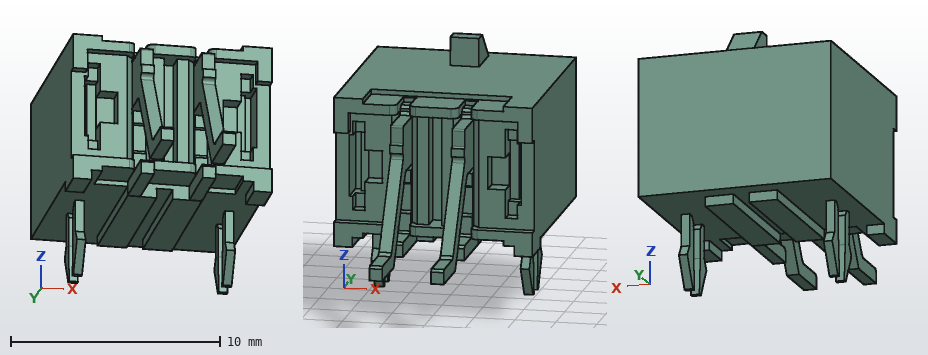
import cadquery as cq


HOUSING_WIDTH = 9.7
HOUSING_DEPTH = 9.9
HOUSING_TOP = 7.35
STANDOFF = 0.48
HALF_WIDTH = HOUSING_WIDTH / 2

WEB_SETBACK = 0.48
LOWER_FLANGE_TOP = 1.2
UPPER_FLANGE_BOTTOM = 6.61
LOBE_WIDTH = 0.7
LOBE_BOTTOM = 5.61
RELIEF_WIDTH = 6.87
RELIEF_DROP = 0.24
UPPER_RELIEF_DEPTH = 1.92
LOWER_RELIEF_DEPTH = 1.86
CENTER_GROOVE_WIDTH = 0.64
CENTER_GROOVE_DEPTH = 0.95

CORNER_FOOT_WIDTH = 0.89
RAIL_INNER_X = 0.4
RAIL_BACK_Y = 8.89

LATCH_WIDTH = 1.4
LATCH_HEIGHT = 1.4
LATCH_FRONT_Y = 7.12
LATCH_FLAT = 0.78

CONTACT_PITCH = 3.0
CONTACT_WIDTH = 0.62
SLOT_DEPTH = 1.83
SLOT_LEAD_IN = 0.32
TAIL_HEIGHT = 0.72
TAIL_CHAMFER = 0.13
UPPER_CONTACT_BOTTOM = 4.07
ROOT_TOP = 7.08
SHOULDER_TOP = 6.85
NOSE_TOP = 6.42
NOSE_Y = -1.2
NOSE_STEP_Y = -1.38
NOSE_STEP_Z = 5.52
NOSE_ROUND = 0.08
HEAD_TOP = 3.83
LEG_FRONT_Y = 0.5
LEG_CHAMFER = 0.11
UPPER_TAIL_TIP = 6.0
LOWER_TAIL_TIP = 1.34

LOCK_INNER_X = RELIEF_WIDTH / 2
LOCK_THICKNESS = 0.43
LOCK_CENTER_Y = 5.31
LOCK_LENGTH = 3.12
POCKET_MID_Z = 3.91
POCKET_HEIGHT = 4.37
POCKET_WIDTH = 0.59
POCKET_DEPTH = 0.64
WELL_HEIGHT = 3.02
WELL_WIDTH = 0.76
WELL_DEPTH = 1.43
LOCK_EDGE_DEPTH = 1.11
NOTCH_WIDTH = 0.86
NOTCH_HEIGHT = 1.59
NOTCH_DEPTH = 0.89

SIDES = (-1, 1)


def box(x0, x1, y0, y1, z0, z1):
    """Box between two corners; the X limits may come in either order."""
    return (
        cq.Workplane("XY")
        .box(abs(x1 - x0), y1 - y0, z1 - z0, centered=False)
        .translate((min(x0, x1), y0, z0))
    )


def plate(points, x_center, thickness):
    """Plate with a (Y, Z) outline, extruded evenly about x_center."""
    return (
        cq.Workplane("YZ")
        .polyline(points)
        .close()
        .extrude(thickness / 2, both=True)
        .translate((x_center, 0, 0))
    )


def housing_body():
    body = box(-HALF_WIDTH, HALF_WIDTH, 0, HOUSING_DEPTH, STANDOFF, HOUSING_TOP)

    lobe_inner_x = HALF_WIDTH - LOBE_WIDTH
    body = body.cut(box(-HALF_WIDTH, HALF_WIDTH, 0, WEB_SETBACK, LOWER_FLANGE_TOP, LOBE_BOTTOM))
    body = body.cut(box(-lobe_inner_x, lobe_inner_x, 0, WEB_SETBACK, LOBE_BOTTOM, UPPER_FLANGE_BOTTOM))

    half_relief = RELIEF_WIDTH / 2
    relief_floor = HOUSING_TOP - RELIEF_DROP
    body = body.cut(box(-half_relief, half_relief, 0, UPPER_RELIEF_DEPTH, relief_floor, HOUSING_TOP))
    body = body.cut(
        box(-half_relief, half_relief, 0, LOWER_RELIEF_DEPTH, STANDOFF, STANDOFF + RELIEF_DROP)
    )

    half_groove = CENTER_GROOVE_WIDTH / 2
    groove_back = WEB_SETBACK + CENTER_GROOVE_DEPTH
    return body.cut(
        box(-half_groove, half_groove, WEB_SETBACK, groove_back, LOWER_FLANGE_TOP, UPPER_FLANGE_BOTTOM)
    )


def feet(side):
    """One front corner foot and one long rail."""
    corner_inner_x = HALF_WIDTH - CORNER_FOOT_WIDTH
    rail_outer_x = (CONTACT_PITCH + CONTACT_WIDTH) / 2
    corner = box(side * corner_inner_x, side * HALF_WIDTH, 0, LOWER_RELIEF_DEPTH, 0, STANDOFF)
    rail = box(side * RAIL_INNER_X, side * rail_outer_x, LOWER_RELIEF_DEPTH, RAIL_BACK_Y, 0, STANDOFF)
    return corner.union(rail)


def latch():
    """Wedge that rises at 45 degrees from the back to a short flat."""
    flat_back_y = LATCH_FRONT_Y + LATCH_FLAT
    latch_top = HOUSING_TOP + LATCH_HEIGHT
    outline = [
        (LATCH_FRONT_Y, HOUSING_TOP),
        (LATCH_FRONT_Y, latch_top),
        (flat_back_y, latch_top),
        (flat_back_y + LATCH_HEIGHT, HOUSING_TOP),
    ]
    return plate(outline, 0, LATCH_WIDTH)


def slot_mouth(half_slot, front_y, rounded):
    """Slot outline in plan, widening at front_y with either round or 45 degree corners."""
    half_mouth = half_slot + SLOT_LEAD_IN
    throat_y = front_y + SLOT_LEAD_IN
    outline = cq.Workplane("XY").moveTo(-half_mouth, front_y)
    if rounded:
        outline = outline.radiusArc((-half_slot, throat_y), -SLOT_LEAD_IN)
    else:
        outline = outline.lineTo(-half_slot, throat_y)
    outline = outline.lineTo(-half_slot, SLOT_DEPTH).lineTo(half_slot, SLOT_DEPTH).lineTo(half_slot, throat_y)
    if rounded:
        outline = outline.radiusArc((half_mouth, front_y), -SLOT_LEAD_IN)
    else:
        outline = outline.lineTo(half_mouth, front_y)
    return outline.close()


def contact_slot(x_center):
    """Upright slot: round corners through the flanges, chamfered corners in the web."""
    half_slot = CONTACT_WIDTH / 2
    through_flanges = (
        slot_mouth(half_slot, 0, rounded=True)
        .extrude(HOUSING_TOP - STANDOFF)
        .translate((x_center, 0, STANDOFF))
    )
    through_web = (
        slot_mouth(half_slot, WEB_SETBACK, rounded=False)
        .extrude(UPPER_FLANGE_BOTTOM - LOWER_FLANGE_TOP)
        .translate((x_center, 0, LOWER_FLANGE_TOP))
    )
    return through_flanges.union(through_web)


def upper_contact(x_center):
    """Contact that leaves the housing high and slopes down to its solder tail."""
    top_inside_slot = [
        (SLOT_DEPTH, ROOT_TOP),
        (1.73, ROOT_TOP),
        (1.73, SHOULDER_TOP),
        (1.18, SHOULDER_TOP),
        (1.02, 6.71),
        (1.02, 6.58),
        (0.86, NOSE_TOP),
    ]
    sloping_front = [(-3.83, 0.86), (-4.04, TAIL_HEIGHT)]
    tail = [
        (TAIL_CHAMFER - UPPER_TAIL_TIP, TAIL_HEIGHT),
        (-UPPER_TAIL_TIP, TAIL_HEIGHT - TAIL_CHAMFER),
        (-UPPER_TAIL_TIP, 0),
        (-3.35, 0),
    ]
    outline = (
        cq.Workplane("YZ")
        .moveTo(SLOT_DEPTH, UPPER_CONTACT_BOTTOM)
        .polyline(top_inside_slot, includeCurrent=True)
        .lineTo(NOSE_Y + NOSE_ROUND, NOSE_TOP)
        .radiusArc((NOSE_Y, NOSE_TOP - NOSE_ROUND), -NOSE_ROUND)
        .lineTo(NOSE_Y, NOSE_STEP_Z + NOSE_ROUND)
        .radiusArc((NOSE_Y - NOSE_ROUND, NOSE_STEP_Z), NOSE_ROUND)
        .lineTo(NOSE_STEP_Y, NOSE_STEP_Z)
        .lineTo(NOSE_STEP_Y, 5.1)
        .threePointArc((-1.22, 4.98), (-1.25, 4.8))
        .polyline(sloping_front, includeCurrent=True)
        .polyline(tail, includeCurrent=True)
        .lineTo(-0.8, 3.93)
        .threePointArc((-0.7, 4.02), (-0.55, UPPER_CONTACT_BOTTOM))
        .close()
    )
    return outline.extrude(CONTACT_WIDTH / 2, both=True).translate((x_center, 0, 0))


def lower_contact(x_center):
    """Contact that stands upright in the slot and ends in a short solder tail."""
    outline = [
        (SLOT_DEPTH, 0),
        (SLOT_DEPTH, HEAD_TOP),
        (LEG_FRONT_Y, HEAD_TOP),
        (LEG_FRONT_Y, 3.21),
        (0.57, 3.13),
        (0.57, 1.83),
        (0.54, 1.75),
        (LEG_FRONT_Y, 1.69),
        (LEG_FRONT_Y, TAIL_HEIGHT + LEG_CHAMFER),
        (LEG_FRONT_Y - LEG_CHAMFER, TAIL_HEIGHT),
        (TAIL_CHAMFER - LOWER_TAIL_TIP, TAIL_HEIGHT),
        (-LOWER_TAIL_TIP, TAIL_HEIGHT - TAIL_CHAMFER),
        (-LOWER_TAIL_TIP, 0),
    ]
    return plate(outline, x_center, CONTACT_WIDTH)


def lock_pocket(side):
    """Pocket for one board lock, opening into a notch towards the contacts."""
    pocket_back = WEB_SETBACK + POCKET_DEPTH
    well_back = WEB_SETBACK + WELL_DEPTH
    lock_edge = WEB_SETBACK + LOCK_EDGE_DEPTH
    notch_back = WEB_SETBACK + NOTCH_DEPTH
    inner_x = side * LOCK_INNER_X
    lock_outer_x = side * (LOCK_INNER_X + LOCK_THICKNESS)
    well_outer_x = side * (LOCK_INNER_X + WELL_WIDTH)

    def recess(x0, x1, back_y, height):
        bottom = POCKET_MID_Z - height / 2
        return box(x0, x1, WEB_SETBACK, back_y, bottom, bottom + height)

    pocket = recess(inner_x, side * (LOCK_INNER_X + POCKET_WIDTH), pocket_back, POCKET_HEIGHT)
    well_beside_lock = recess(lock_outer_x, well_outer_x, well_back, WELL_HEIGHT)
    well_before_lock = recess(inner_x, lock_outer_x, lock_edge, WELL_HEIGHT)
    notch = recess(inner_x, side * (LOCK_INNER_X - NOTCH_WIDTH), notch_back, NOTCH_HEIGHT)
    return pocket.union(well_beside_lock).union(well_before_lock).union(notch)


def lock_prong(side, direction):
    """One barbed prong; direction is +1 for the rear prong and -1 for the front one."""
    outline = [
        (0.76, STANDOFF),
        (0.51, 0.17),
        (0.51, -1.27),
        (0.37, -LOCK_LENGTH),
        (0.6, -LOCK_LENGTH),
        (1.45, -1.64),
        (1.1, -1.11),
        (1.1, STANDOFF),
    ]
    points = [(LOCK_CENTER_Y + direction * y, z) for y, z in outline]
    return plate(points, side * (LOCK_INNER_X + LOCK_THICKNESS / 2), LOCK_THICKNESS)


result = housing_body().union(latch())

for side in SIDES:
    contact_x = side * CONTACT_PITCH / 2
    result = result.union(feet(side))
    result = result.cut(contact_slot(contact_x)).cut(lock_pocket(side))
    result = result.union(upper_contact(contact_x)).union(lower_contact(contact_x))
    for direction in SIDES:
        result = result.union(lock_prong(side, direction))